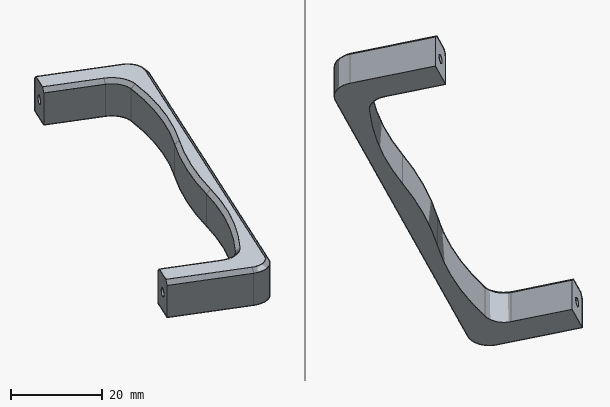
import cadquery as cq
import math

length = 100.7
projection = 24.8
thickness = 9.0
leg_width = 7.0
outer_radius = 5.0
inner_radius = 4.9
chamfer_size = 1.0

arch_radius = 70.5
arch_center_x = 21.7
arch_bar_depth = 3.6
joint_x = 12.1

hole_diameter = 2.0
hole_depth = 10.1

leg_inner_x = length / 2 - leg_width
arch_center_y = projection - arch_bar_depth - arch_radius


def arch_point(x):
    """Point on the right-hand arch at the given x."""
    height = math.sqrt(arch_radius**2 - (x - arch_center_x) ** 2)
    return (x, arch_center_y + height)


def mirrored(point):
    return (-point[0], point[1])


joint = arch_point(joint_x)
joint_angle = math.asin((arch_center_x - joint_x) / arch_radius)
middle_radius = joint_x / math.sin(joint_angle)
middle_point = (0, joint[1] - middle_radius * (1 - math.cos(joint_angle)))

arch_crown = arch_point(arch_center_x)
arch_end = arch_point(leg_inner_x)


def handle_blank():
    """U-shaped handle with sharp corners at the ends of the grip."""
    return (
        cq.Workplane("XY")
        .moveTo(-length / 2, 0)
        .lineTo(-length / 2, projection)
        .lineTo(length / 2, projection)
        .lineTo(length / 2, 0)
        .lineTo(leg_inner_x, 0)
        .lineTo(*arch_end)
        .threePointArc(arch_crown, joint)
        .threePointArc(middle_point, mirrored(joint))
        .threePointArc(mirrored(arch_crown), mirrored(arch_end))
        .lineTo(-leg_inner_x, 0)
        .close()
        .extrude(thickness)
    )


def corner_edges(x, y):
    """Selector for the mirrored pair of vertical edges at (+x, y) and (-x, y)."""
    middle_z = thickness / 2
    right = cq.selectors.NearestToPointSelector((x, y, middle_z))
    left = cq.selectors.NearestToPointSelector((-x, y, middle_z))
    return right + left


handle = handle_blank()
handle = handle.edges(corner_edges(length / 2, projection)).fillet(outer_radius)
handle = handle.edges(corner_edges(*arch_end)).fillet(inner_radius)

leg_end_edges = cq.selectors.BoxSelector(
    (-length, -chamfer_size, 0), (length, chamfer_size, 2 * thickness)
)
rim_edges = cq.selectors.InverseSelector(leg_end_edges)
handle = handle.faces(">Z").edges(rim_edges).chamfer(chamfer_size)

hole_x = (length - leg_width) / 2
screw_holes = (
    cq.Workplane("XZ")
    .pushPoints([(-hole_x, thickness / 2), (hole_x, thickness / 2)])
    .circle(hole_diameter / 2)
    .extrude(-hole_depth)
)
result = handle.cut(screw_holes)